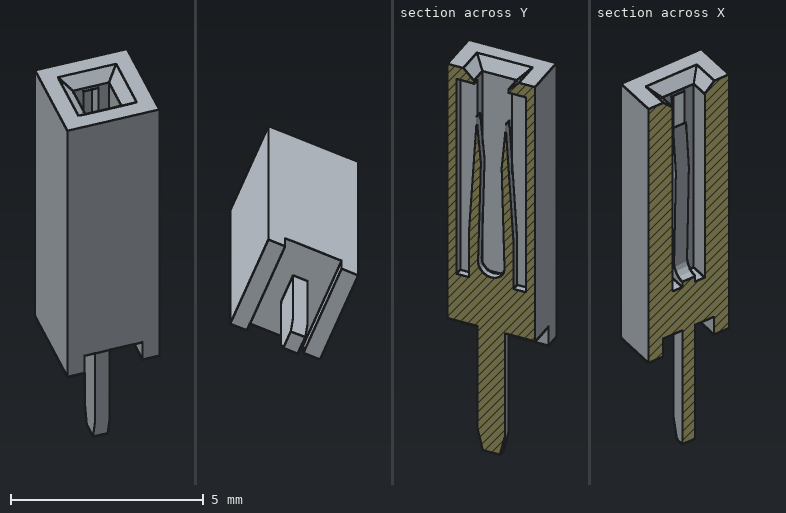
import cadquery as cq

total_height = 11.7
body_width = 2.54
body_height = 8.5
body_bottom = total_height - body_height

channel_width = 1.59
channel_height = 0.6
channel_top = body_bottom + channel_height

mouth_width = 1.6
socket_width = 1.0
mouth_depth = (mouth_width - socket_width) / 2
socket_floor = 5.26
mouth_bottom = total_height - mouth_depth

slot_length = 1.99
slot_roof_gap = 0.1
slot_top = mouth_bottom - slot_roof_gap

sheet_thickness = 0.41
pin_width = 0.81
pin_tip_width = 0.5
pin_taper_height = 0.62
arm_outer_half = 0.64
arm_tip_half = 0.42
throat_half = 0.29
fork_radius = 0.37
fork_bottom = socket_floor + 0.18
fork_spring = fork_bottom + fork_radius
arm_bend = 6.79
throat_height = 8.89
arm_tip_height = 10.3


def make_box(length, width, bottom, top):
    """Box centred on the Z axis between two heights."""
    return cq.Workplane("XY").workplane(offset=bottom).rect(length, width).extrude(top - bottom)


def make_housing():
    housing = make_box(body_width, body_width, body_bottom, total_height)
    channel = make_box(body_width, channel_width, body_bottom, channel_top)
    socket = make_box(socket_width, socket_width, socket_floor, mouth_bottom)
    slots = make_box(slot_length, sheet_thickness, socket_floor, slot_top)
    mouth = (
        cq.Workplane("XY").workplane(offset=mouth_bottom)
        .rect(socket_width, socket_width)
        .workplane(offset=mouth_depth)
        .rect(mouth_width, mouth_width)
        .loft(combine=True)
    )
    return housing.cut(channel).cut(socket).cut(slots).cut(mouth)


def extrude_sheet(outline):
    """Give a closed XZ outline the sheet thickness, centred on Y = 0."""
    return outline.close().extrude(sheet_thickness / 2, both=True)


def make_pin():
    half_width = pin_width / 2
    half_tip = pin_tip_width / 2
    outline = cq.Workplane("XZ").polyline([
        (-half_tip, 0),
        (half_tip, 0),
        (half_width, pin_taper_height),
        (half_width, socket_floor),
        (-half_width, socket_floor),
        (-half_width, pin_taper_height),
    ])
    return extrude_sheet(outline)


def make_fork():
    """Arms lean in to a narrow throat, then flare out to pointed tips."""
    outline = (
        cq.Workplane("XZ")
        .moveTo(-arm_outer_half, socket_floor)
        .lineTo(arm_outer_half, socket_floor)
        .lineTo(arm_outer_half, arm_bend)
        .lineTo(arm_tip_half, arm_tip_height)
        .lineTo(throat_half, throat_height)
        .lineTo(fork_radius, fork_spring)
        .threePointArc((0, fork_bottom), (-fork_radius, fork_spring))
        .lineTo(-throat_half, throat_height)
        .lineTo(-arm_tip_half, arm_tip_height)
        .lineTo(-arm_outer_half, arm_bend)
    )
    return extrude_sheet(outline)


result = make_housing().union(make_pin()).union(make_fork())